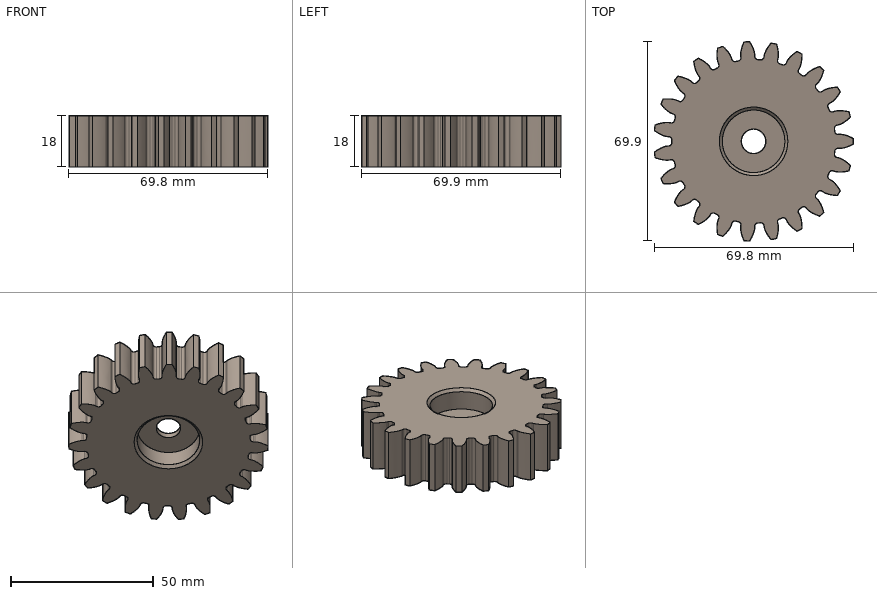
import math

import cadquery as cq

TOOTH_COUNT = 23
MODULE = 2.8
PRESSURE_ANGLE = math.radians(20)
FACE_WIDTH = 18.0
DEDENDUM_FACTOR = 1.25
FILLET_FACTOR = 0.38

BORE_DIAMETER = 8.5
RECESS_DIAMETER = 21.9
RECESS_MOUTH_DIAMETER = 24.0
WEB_THICKNESS = 2.4

PITCH_RADIUS = MODULE * TOOTH_COUNT / 2
TIP_RADIUS = PITCH_RADIUS + MODULE
ROOT_RADIUS = PITCH_RADIUS - DEDENDUM_FACTOR * MODULE
BASE_RADIUS = PITCH_RADIUS * math.cos(PRESSURE_ANGLE)
ROOT_FILLET = FILLET_FACTOR * MODULE
TOOTH_PITCH = 2 * math.pi / TOOTH_COUNT

RECESS_DEPTH = (FACE_WIDTH - WEB_THICKNESS) / 2
MOUTH_CHAMFER = (RECESS_MOUTH_DIAMETER - RECESS_DIAMETER) / 2

FLANK_STEPS = 8


def polar(radius, angle):
    """Point at the given radius and angle (radians)."""
    return (radius * math.cos(angle), radius * math.sin(angle))


def involute(angle):
    """Involute function of a pressure angle."""
    return math.tan(angle) - angle


def half_tooth_angle(radius):
    """Half the angle a tooth spans at a radius on its involute flank."""
    local_pressure_angle = math.acos(min(1.0, BASE_RADIUS / radius))
    half_angle_at_base = TOOTH_PITCH / 4 + involute(PRESSURE_ANGLE)
    return half_angle_at_base - involute(local_pressure_angle)


def flank_points(tooth_angle, side):
    """Points up one involute flank, from base circle to tip circle."""
    radial_step = (TIP_RADIUS - BASE_RADIUS) / FLANK_STEPS
    radii = [BASE_RADIUS + radial_step * step for step in range(FLANK_STEPS + 1)]
    return [polar(radius, tooth_angle + side * half_tooth_angle(radius)) for radius in radii]


def is_on_root_circle(edge):
    """True for an upright edge where a tooth side meets the root circle."""
    centre = edge.Center()
    return math.hypot(centre.x, centre.y) < (ROOT_RADIUS + BASE_RADIUS) / 2


def gear_blank():
    """Toothed disc centred on Z, with one tooth centred on +X."""
    root_half_angle = half_tooth_angle(BASE_RADIUS)
    outline = cq.Workplane("XY").moveTo(*polar(ROOT_RADIUS, -root_half_angle))
    for tooth in range(TOOTH_COUNT):
        tooth_angle = tooth * TOOTH_PITCH
        rising_flank = flank_points(tooth_angle, -1)
        falling_flank = flank_points(tooth_angle, 1)[::-1]
        next_root_start = tooth_angle + TOOTH_PITCH - root_half_angle
        gap_middle = tooth_angle + TOOTH_PITCH / 2
        outline = (
            outline.lineTo(*rising_flank[0])
            .spline(rising_flank[1:], includeCurrent=True)
            .threePointArc(polar(TIP_RADIUS, tooth_angle), falling_flank[0])
            .spline(falling_flank[1:], includeCurrent=True)
            .lineTo(*polar(ROOT_RADIUS, tooth_angle + root_half_angle))
            .threePointArc(polar(ROOT_RADIUS, gap_middle), polar(ROOT_RADIUS, next_root_start))
        )
    blank = outline.close().extrude(FACE_WIDTH)
    root_corners = blank.edges("|Z").filter(is_on_root_circle)
    return root_corners.fillet(ROOT_FILLET)


def hub_cutter():
    """Revolved bore with a chamfered recess at both faces."""
    bore_radius = BORE_DIAMETER / 2
    recess_radius = RECESS_DIAMETER / 2
    mouth_radius = RECESS_MOUTH_DIAMETER / 2
    return (
        cq.Workplane("XZ")
        .moveTo(0, 0)
        .lineTo(mouth_radius, 0)
        .lineTo(recess_radius, MOUTH_CHAMFER)
        .lineTo(recess_radius, RECESS_DEPTH)
        .lineTo(bore_radius, RECESS_DEPTH)
        .lineTo(bore_radius, FACE_WIDTH - RECESS_DEPTH)
        .lineTo(recess_radius, FACE_WIDTH - RECESS_DEPTH)
        .lineTo(recess_radius, FACE_WIDTH - MOUTH_CHAMFER)
        .lineTo(mouth_radius, FACE_WIDTH)
        .lineTo(0, FACE_WIDTH)
        .close()
        .revolve()
    )


result = gear_blank().cut(hub_cutter())